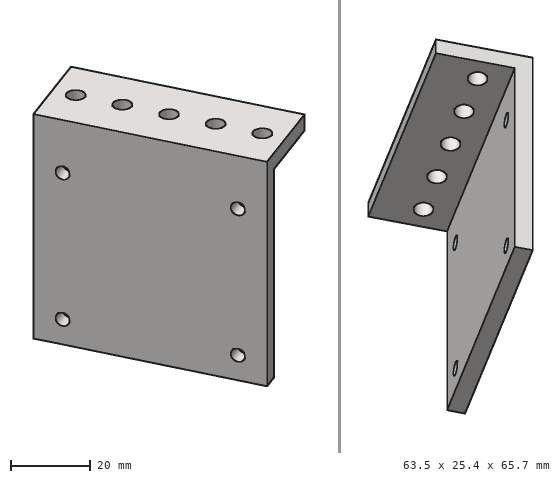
import cadquery as cq

width = 63.5
depth = 25.4
height = 65.7
thickness = 4.7

mount_diameter = 3.8
mount_spacing_x = 47.65
mount_spacing_z = 42.85
mount_bottom_offset = 7.35
mount_center_z = mount_bottom_offset + mount_spacing_z / 2

flange_hole_count = 5
flange_hole_diameter = 5.0
flange_hole_pitch = 12.7

profile = [
    (0, 0),
    (thickness, 0),
    (thickness, height - thickness),
    (depth, height - thickness),
    (depth, height),
    (0, height),
]
bracket = cq.Workplane("YZ").polyline(profile).close().extrude(width / 2, both=True)

mount_holes = (
    cq.Workplane("XZ")
    .center(0, mount_center_z)
    .rarray(mount_spacing_x, mount_spacing_z, 2, 2)
    .circle(mount_diameter / 2)
    .extrude(-thickness)
)

flange_holes = (
    cq.Workplane("XY", origin=(0, depth / 2, height - thickness))
    .rarray(flange_hole_pitch, 0.65, flange_hole_count, 1)
    .circle(flange_hole_diameter / 2)
    .extrude(thickness)
)

result = bracket.cut(mount_holes).cut(flange_holes)